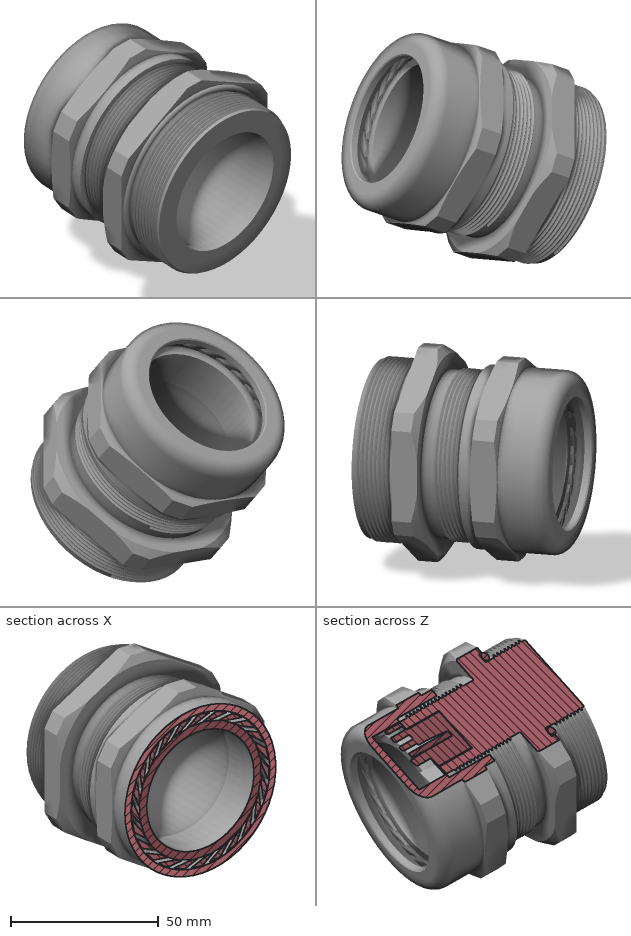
import cadquery as cq
import math


MOUTH_END = 2.7
CAGE_FRONT = 7.4
SEAL_FRONT = 8.55
BODY_FRONT = 14.0
CAP_HEX_START = 16.9
SEAL_BACK = 24.9
CAP_HEX_END = 26.6
CAGE_BACK = 27.6
CAP_BACK = 30.75
BODY_HEX_START = 44.65
BODY_HEX_END = 53.7
TOTAL_LENGTH = 68.82

CAP_DIA = 63.0
DOME_RADIUS = 4.5
COLLAR_DIA = 62.9
MOUTH_DIA = 45.1
MOUTH_CHAMFER = 0.4
CAP_FRONT_BORE = 57.6
CAP_THREAD_BORE = 59.2
CAP_HEX_FLATS = 64.0
CAP_HEX_CORNERS = 69.6
CAP_HEX_FACE_DIA = 63.2
CAP_HEX_CHAMFER = 1.0

HEAD_DIA = 57.3
SLEEVE_DIA = 54.2
CAGE_BORE = 50.8
FLANGE_BORE = 45.0
FINGER_COUNT = 24
SLOT_DEPTH = 6.0
SLOT_WIDTH = 1.3
SLOT_BEVEL = 0.35
SLOT_TILT = 29.0
SLOT_PHASE = 5.5

SEAL_BORE = 44.4

BODY_BORE = 45.0
CAGE_SEAT_DIA = 54.3
CLAMP_ROOT_DIA = 57.6
CLAMP_CREST_DIA = 59.12
ENTRY_ROOT_DIA = 61.48
ENTRY_CREST_DIA = 63.13
BODY_HEX_FLATS = 68.0
BODY_HEX_CORNERS = 74.71
BODY_HEX_FACE_DIA = 69.0
BODY_HEX_CHAMFER = 2.1

HEX_SIDES = 6
HALF_SIDE_ANGLE = 180 / HEX_SIDES

THREAD_PITCH = 1.5
RIDGE_WIDTH = 1.1
RIDGE_OVERLAP = 0.1
CLAMP_THREAD_END = 40.75
CLAMP_THREAD_TURNS = 16
ENTRY_THREAD_END = 67.75
ENTRY_THREAD_TURNS = 8

O_RING_SECTION = 2.4
O_RING_INNER_DIA = ENTRY_ROOT_DIA
O_RING_OUTER_DIA = O_RING_INNER_DIA + 2 * O_RING_SECTION


def cylinder(diameter, start, end):
    return cq.Workplane("YZ", origin=(start, 0, 0)).circle(diameter / 2).extrude(end - start)


def hex_prism(across_flats, start, end, turn):
    """Hexagonal prism on the X axis; with no turn its flats face +Y and -Y."""
    across_points = across_flats / math.cos(math.radians(HALF_SIDE_ANGLE))
    prism = cq.Workplane("YZ", origin=(start, 0, 0)).polygon(HEX_SIDES, across_points).extrude(end - start)
    return prism.rotate((0, 0, 0), (1, 0, 0), HALF_SIDE_ANGLE + turn)


def hex_collar(across_flats, across_corners, start, end):
    """Hexagon with its six corners cut flat, the flats facing +Y and -Y, corners +Z and -Z."""
    corner_cut = hex_prism(across_corners, start, end, HALF_SIDE_ANGLE)
    return hex_prism(across_flats, start, end, 0).intersect(corner_cut)


def corner_radius(across_flats, across_corners):
    """Distance from the axis to the twelve edges of a hexagon with flattened corners."""
    flat = across_flats / 2
    corner = across_corners / 2
    half_side = math.radians(HALF_SIDE_ANGLE)
    along_flat = (corner - flat * math.cos(half_side)) / math.sin(half_side)
    return math.hypot(flat, along_flat)


def chamfer_envelope(face_dia, rim_radius, depth, start, end, both_ends):
    """Turned blank that bevels the hexagon edges at the start, and at the end if asked."""
    face_radius = face_dia / 2
    points = [(start, 0), (start, face_radius), (start + depth, rim_radius)]
    if both_ends:
        points += [(end - depth, rim_radius), (end, face_radius)]
    else:
        points += [(end, rim_radius)]
    points += [(end, 0)]
    return cq.Workplane("XY").polyline(points).close().revolve(360, (0, 0, 0), (1, 0, 0))


def thread_ridge(root_dia, crest_dia, end, turns):
    """Right-handed helical ridge, sunk slightly into the barrel that carries it."""
    length = turns * THREAD_PITCH
    base_radius = root_dia / 2 - RIDGE_OVERLAP
    path = cq.Wire.makeHelix(THREAD_PITCH, length, base_radius)
    half = RIDGE_WIDTH / 2
    section = [(base_radius, -half), (crest_dia / 2, 0), (base_radius, half)]
    ridge = cq.Workplane("XZ").polyline(section).close().sweep(cq.Workplane(path), isFrenet=True)
    return ridge.rotate((0, 0, 0), (0, 1, 0), 90).translate((end - length, 0, 0))


def make_cap_nut():
    dome = cylinder(CAP_DIA, 0, CAP_HEX_START).faces("<X").edges().fillet(DOME_RADIUS)
    rim = corner_radius(CAP_HEX_FLATS, CAP_HEX_CORNERS)
    envelope = chamfer_envelope(
        CAP_HEX_FACE_DIA, rim, CAP_HEX_CHAMFER, CAP_HEX_START, CAP_HEX_END, True
    )
    hexagon = hex_collar(CAP_HEX_FLATS, CAP_HEX_CORNERS, CAP_HEX_START, CAP_HEX_END).intersect(envelope)
    collar = cylinder(COLLAR_DIA, CAP_HEX_END, CAP_BACK)
    mouth = cylinder(MOUTH_DIA, 0, MOUTH_END)
    front_bore = cylinder(CAP_FRONT_BORE, MOUTH_END, BODY_FRONT)
    thread_bore = cylinder(CAP_THREAD_BORE, BODY_FRONT, CAP_BACK)
    cap = dome.union(hexagon).union(collar).cut(mouth).cut(front_bore).cut(thread_bore)
    mouth_edge = cap.faces("<X").edges(cq.selectors.RadiusNthSelector(0))
    return mouth_edge.chamfer(MOUTH_CHAMFER)


def make_cage():
    """Stepped sleeve with an inner flange behind the seal and slanted, bevelled slots between its fingers."""
    head = cylinder(HEAD_DIA, CAGE_FRONT, BODY_FRONT)
    sleeve = cylinder(SLEEVE_DIA, BODY_FRONT, CAGE_BACK)
    seal_pocket = cylinder(CAGE_BORE, CAGE_FRONT, SEAL_BACK)
    flange_hole = cylinder(FLANGE_BORE, SEAL_BACK, CAGE_BACK)
    cage = head.union(sleeve).cut(seal_pocket).cut(flange_hole)
    mid_radius = (HEAD_DIA + CAGE_BORE) / 4
    slot_length = 2 * (HEAD_DIA - CAGE_BORE)
    half_width = SLOT_WIDTH / 2
    slot_outline = [
        (0, half_width),
        (SLOT_DEPTH, half_width),
        (SLOT_DEPTH, -half_width),
        (SLOT_BEVEL, -half_width),
        (0, -half_width - SLOT_BEVEL),
    ]
    slot = cq.Workplane("XZ").polyline(slot_outline).close().extrude(slot_length / 2, both=True)
    slot = slot.rotate((0, 0, 0), (1, 0, 0), 90 - SLOT_TILT).translate((CAGE_FRONT, mid_radius, 0))
    for index in range(FINGER_COUNT):
        angle = SLOT_PHASE + index * 360 / FINGER_COUNT
        cage = cage.cut(slot.rotate((0, 0, 0), (1, 0, 0), angle))
    return cage


def make_seal():
    return cylinder(CAGE_BORE, SEAL_FRONT, SEAL_BACK).cut(cylinder(SEAL_BORE, SEAL_FRONT, SEAL_BACK))


def make_body():
    clamp_barrel = cylinder(CLAMP_ROOT_DIA, BODY_FRONT, BODY_HEX_START)
    clamp_thread = thread_ridge(CLAMP_ROOT_DIA, CLAMP_CREST_DIA, CLAMP_THREAD_END, CLAMP_THREAD_TURNS)
    entry_barrel = cylinder(ENTRY_ROOT_DIA, BODY_HEX_END, TOTAL_LENGTH)
    entry_thread = thread_ridge(ENTRY_ROOT_DIA, ENTRY_CREST_DIA, ENTRY_THREAD_END, ENTRY_THREAD_TURNS)
    rim = corner_radius(BODY_HEX_FLATS, BODY_HEX_CORNERS)
    envelope = chamfer_envelope(
        BODY_HEX_FACE_DIA, rim, BODY_HEX_CHAMFER, BODY_HEX_START, BODY_HEX_END, False
    )
    hexagon = hex_collar(BODY_HEX_FLATS, BODY_HEX_CORNERS, BODY_HEX_START, BODY_HEX_END).intersect(envelope)
    front = clamp_barrel.union(clamp_thread)
    back = entry_barrel.union(entry_thread)
    groove_floor = BODY_HEX_END - O_RING_SECTION / 2
    groove = cylinder(O_RING_OUTER_DIA, groove_floor, BODY_HEX_END).cut(
        cylinder(O_RING_INNER_DIA, groove_floor, BODY_HEX_END)
    )
    body = front.union(hexagon).union(back).cut(groove)
    cage_seat = cylinder(CAGE_SEAT_DIA, BODY_FRONT, CAGE_BACK)
    bore = cylinder(BODY_BORE, CAGE_BACK, TOTAL_LENGTH)
    return body.cut(cage_seat).cut(bore)


def make_o_ring():
    centre_radius = (O_RING_INNER_DIA + O_RING_SECTION) / 2
    section = cq.Workplane("XY", origin=(BODY_HEX_END, centre_radius, 0)).circle(O_RING_SECTION / 2)
    return section.revolve(360, (0, -centre_radius, 0), (1, -centre_radius, 0))


cap_nut = make_cap_nut()
cage = make_cage()
seal = make_seal()
body = make_body()
o_ring = make_o_ring()

result = cq.Compound.makeCompound([cap_nut.val(), cage.val(), seal.val(), body.val(), o_ring.val()])